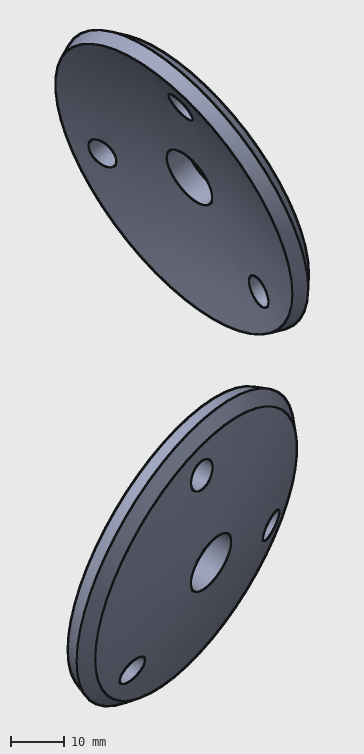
import cadquery as cq
import math

total_height = 9.0
rim_radius = 34.0
rim_height = 3.0

chamfer = 2.5
base_radius = 32.85

wall_thickness = 5.0

centre_hole_diameter = 12.6
screw_hole_diameter = 6.5
screw_circle_radius = 25.0
screw_count = 3
first_screw_angle = 90.0

dome_edge_radius = rim_radius - chamfer
dome_edge_height = rim_height + chamfer
centre_hole_radius = centre_hole_diameter / 2
dome_rise = total_height - dome_edge_height


def sphere_height(radius, sphere_radius, centre_height):
    """Height of a sphere centred on the axis, at a distance from the axis."""
    return centre_height + math.sqrt(sphere_radius**2 - radius**2)


def make_shell():
    """Revolve the half section (radius, height) around the Y axis."""
    centre_below_edge = (
        dome_edge_radius**2 - centre_hole_radius**2 - dome_rise**2
    ) / (2 * dome_rise)
    dome_radius = math.hypot(dome_edge_radius, centre_below_edge)
    dome_centre = dome_edge_height - centre_below_edge
    dome_apex = dome_centre + dome_radius
    dome_middle_radius = dome_edge_radius / 2
    dome_middle = (
        dome_middle_radius,
        sphere_height(dome_middle_radius, dome_radius, dome_centre),
    )

    hollow_depth = dome_apex - wall_thickness
    hollow_radius = (base_radius**2 + hollow_depth**2) / (2 * hollow_depth)
    hollow_centre = hollow_depth - hollow_radius
    hollow_middle_radius = base_radius / 2
    hollow_middle = (
        hollow_middle_radius,
        sphere_height(hollow_middle_radius, hollow_radius, hollow_centre),
    )

    section = (
        cq.Workplane("XY")
        .moveTo(0, hollow_depth)
        .threePointArc(hollow_middle, (base_radius, 0))
        .lineTo(rim_radius, rim_height)
        .lineTo(dome_edge_radius, dome_edge_height)
        .threePointArc(dome_middle, (0, dome_apex))
        .close()
    )
    return section.revolve(360, (0, 0, 0), (0, 1, 0))


def make_hole(diameter, x, z):
    """Cylinder along Y, long enough to pass through the whole shell."""
    length = 2 * total_height
    return (
        cq.Workplane("XZ", origin=(0, -total_height / 2, 0))
        .center(x, z)
        .circle(diameter / 2)
        .extrude(-length)
    )


result = make_shell().cut(make_hole(centre_hole_diameter, 0, 0))
for index in range(screw_count):
    angle = math.radians(first_screw_angle + index * 360 / screw_count)
    screw_x = screw_circle_radius * math.cos(angle)
    screw_z = screw_circle_radius * math.sin(angle)
    result = result.cut(make_hole(screw_hole_diameter, screw_x, screw_z))